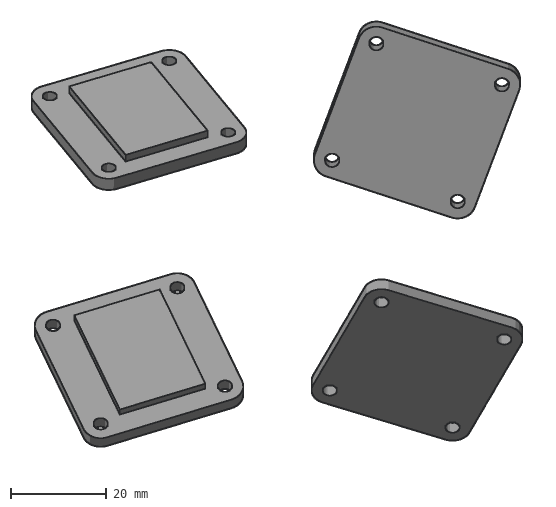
import cadquery as cq

plate_side = 35.7
plate_thickness = 3.0
hole_spacing = 28.0
hole_diameter = 3.0
corner_radius = (plate_side - hole_spacing) / 2

total_height = 4.75
pad_length = 26.8
pad_width = 19.25
pad_offset_x = 0.2
pad_offset_y = -0.25
pad_height = total_height - plate_thickness

plate = (
    cq.Workplane("XY")
    .rect(plate_side, plate_side)
    .extrude(plate_thickness)
    .edges("|Z")
    .fillet(corner_radius)
)

pad = (
    cq.Workplane("XY", origin=(pad_offset_x, pad_offset_y, plate_thickness))
    .rect(pad_length, pad_width)
    .extrude(pad_height)
)

holes = (
    cq.Workplane("XY")
    .rect(hole_spacing, hole_spacing, forConstruction=True)
    .vertices()
    .circle(hole_diameter / 2)
    .extrude(plate_thickness)
)

result = plate.union(pad).cut(holes)